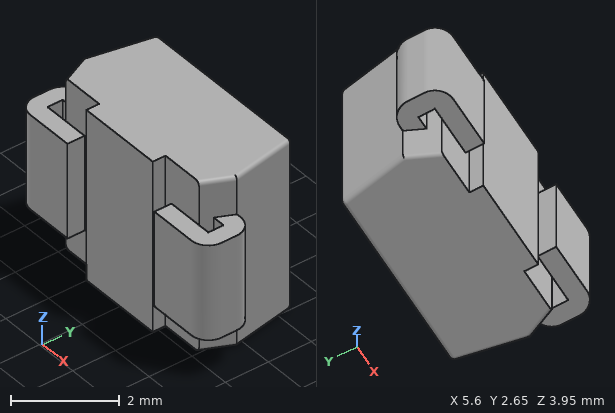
import cadquery as cq

total_length = 5.6
total_depth = 2.65
body_height = 3.95

back_width = 4.01
widest_width = 4.59
front_width = 3.99
body_front_y = 0.5
edge_radius = 0.1

foot_width = 1.98
foot_front_y = 0.2

lead_height = 2.195
lead_thickness = 0.4
lead_depth = 1.15
lead_pad_length = 1.5
lead_bend_radius = 0.4
lead_root_x = 2.015

parting_y = lead_depth


def make_body():
    """Tapered body with rounded top, bottom and back edges."""
    outline = [
        (-front_width / 2, body_front_y),
        (front_width / 2, body_front_y),
        (widest_width / 2, parting_y),
        (back_width / 2, total_depth),
        (-back_width / 2, total_depth),
        (-widest_width / 2, parting_y),
    ]
    body = cq.Workplane("XY").polyline(outline).close().extrude(body_height / 2, both=True)
    rounded_edges = body.faces("|Z or >Y").edges("not <Y")
    return body.newObject(rounded_edges.vals()).fillet(edge_radius)


def make_foot():
    """Flat foot running the full height of the body."""
    depth = parting_y - foot_front_y
    return cq.Workplane("XY").box(foot_width, depth, body_height).translate(
        (0, foot_front_y + depth / 2, 0)
    )


def make_lead():
    """C-shaped lead on the +X side, bent around to a flat pad."""
    outer_x = total_length / 2
    inner_x = outer_x - lead_thickness
    pad_end_x = outer_x - lead_pad_length
    outline = [
        (lead_root_x, lead_depth),
        (outer_x, lead_depth),
        (outer_x, 0),
        (pad_end_x, 0),
        (pad_end_x, lead_thickness),
        (inner_x, lead_thickness),
        (inner_x, lead_depth - lead_thickness),
        (lead_root_x, lead_depth - lead_thickness),
    ]
    lead = cq.Workplane("XY").polyline(outline).close().extrude(lead_height / 2, both=True)
    return lead.edges("|Z and >X").fillet(lead_bend_radius)


right_lead = make_lead()
left_lead = right_lead.mirror("YZ")
result = make_body().union(make_foot()).union(right_lead).union(left_lead)